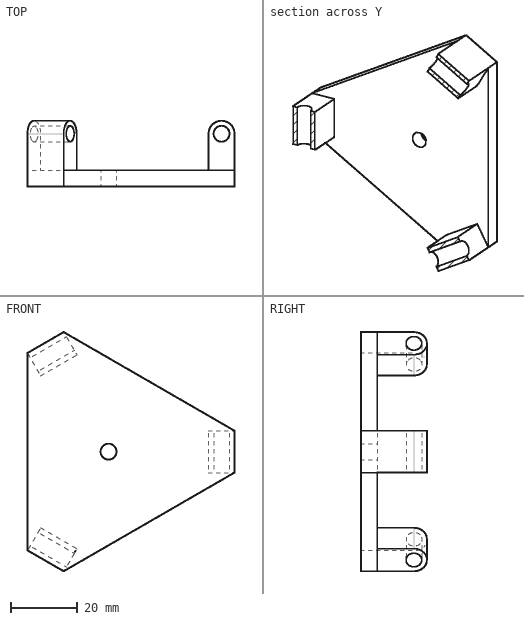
import cadquery as cq
import math

total_width = 62.81
total_depth = 20.0
plate_thickness = 5.0
corner_flat = 12.7
lug_thickness = 7.94
hole_diameter = 4.76
corner_count = 3

corner_cut = corner_flat / 2 * math.sqrt(3)
inradius = (total_width + corner_cut) / 3
flat_distance = total_width - inradius
lug_radius = lug_thickness / 2
lug_axis_x = flat_distance - lug_radius
lug_axis_y = total_depth - lug_radius
corner_angles = [i * 360 / corner_count for i in range(corner_count)]


def rotate_about_y(body, angle):
    return body.rotate((0, 0, 0), (0, 1, 0), angle)


def make_plate():
    """Triangular plate in the XZ plane, from Y = 0 to Y = plate_thickness."""
    outline = []
    flat_half_angle = math.atan2(corner_flat / 2, flat_distance)
    vertex_radius = math.hypot(flat_distance, corner_flat / 2)
    for angle in corner_angles:
        for side in (-1, 1):
            direction = math.radians(angle) + side * flat_half_angle
            outline.append((vertex_radius * math.cos(direction), vertex_radius * math.sin(direction)))
    plate = cq.Workplane("XZ").polyline(outline).close().extrude(-plate_thickness)
    centre_hole = cq.Workplane("XZ").circle(hole_diameter / 2).extrude(-plate_thickness)
    return plate.cut(centre_hole)


def make_lug():
    """Round-topped lug standing on the plate, flush with the +X corner flat, bored along Z."""
    profile = (
        cq.Workplane("XY")
        .moveTo(flat_distance - lug_thickness, plate_thickness)
        .lineTo(flat_distance, plate_thickness)
        .lineTo(flat_distance, lug_axis_y)
        .threePointArc((lug_axis_x, total_depth), (flat_distance - lug_thickness, lug_axis_y))
        .close()
    )
    lug = profile.extrude(corner_flat / 2, both=True)
    bore = (
        cq.Workplane("XY")
        .center(lug_axis_x, lug_axis_y)
        .circle(hole_diameter / 2)
        .extrude(corner_flat / 2, both=True)
    )
    return lug.cut(bore)


result = make_plate()
for corner_angle in corner_angles:
    result = result.union(rotate_about_y(make_lug(), corner_angle))